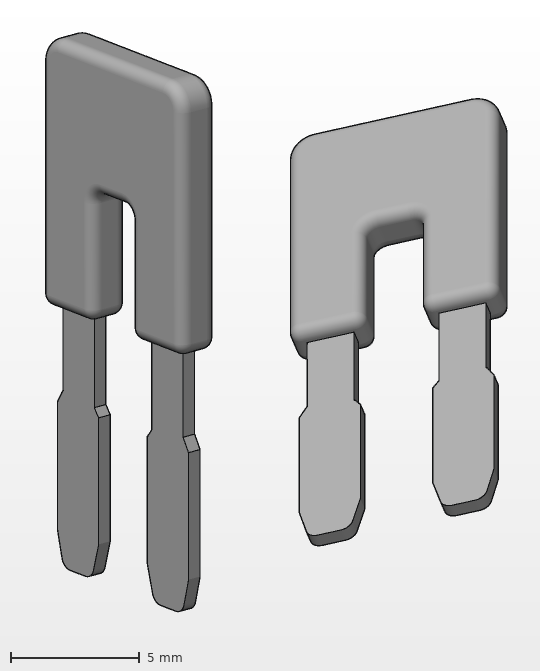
import cadquery as cq

total_height = 21.85

housing_width = 8.5
housing_thickness = 1.8
housing_height = 11.08
housing_corner_radius = 1.1
edge_radius = 0.48
slot_width = 2.3
slot_depth = 5.35
slot_corner_radius = 0.5
housing_bottom = total_height - housing_height

blade_thickness = 0.6
neck_inner_x = 1.73
neck_outer_x = 3.63
paddle_inner_x = 1.46
paddle_outer_x = 3.95
inner_shoulder_top = 7.05
inner_shoulder_bottom = 6.7
outer_shoulder_top = 7.25
outer_shoulder_bottom = 6.7
inner_taper_top = 1.5
outer_taper_top = 1.49
tip_inner_x = 1.88
tip_outer_x = 3.58
tip_radius = 0.5
blade_top = housing_bottom


def make_housing():
    """Rounded block with a slot open at the bottom and every edge filleted."""
    block = (
        cq.Workplane("XY")
        .box(housing_width, housing_thickness, housing_height, centered=(True, True, False))
        .edges("|Y and >Z")
        .fillet(housing_corner_radius)
    )
    slot = (
        cq.Workplane("XY")
        .box(slot_width, housing_thickness, slot_depth, centered=(True, True, False))
        .edges("|Y and >Z")
        .fillet(slot_corner_radius)
    )
    body = block.cut(slot)
    body = body.faces("<Y or >Y or <Z").edges().fillet(edge_radius)
    return body.translate((0, 0, housing_bottom))


def make_blade(side):
    """Flat contact blade; side is -1 for the left leg and +1 for the right leg."""
    outline = [
        (neck_inner_x, blade_top),
        (neck_inner_x, inner_shoulder_top),
        (paddle_inner_x, inner_shoulder_bottom),
        (paddle_inner_x, inner_taper_top),
        (tip_inner_x, 0),
        (tip_outer_x, 0),
        (paddle_outer_x, outer_taper_top),
        (paddle_outer_x, outer_shoulder_bottom),
        (neck_outer_x, outer_shoulder_top),
        (neck_outer_x, blade_top),
    ]
    return (
        cq.Workplane("XZ")
        .polyline([(side * x, z) for x, z in outline])
        .close()
        .extrude(blade_thickness / 2, both=True)
        .faces("<Z")
        .edges("|Y")
        .fillet(tip_radius)
    )


housing = make_housing()
blades = [make_blade(side) for side in (-1, 1)]

result = cq.Compound.makeCompound([housing.solids().val(), *[blade.solids().val() for blade in blades]])